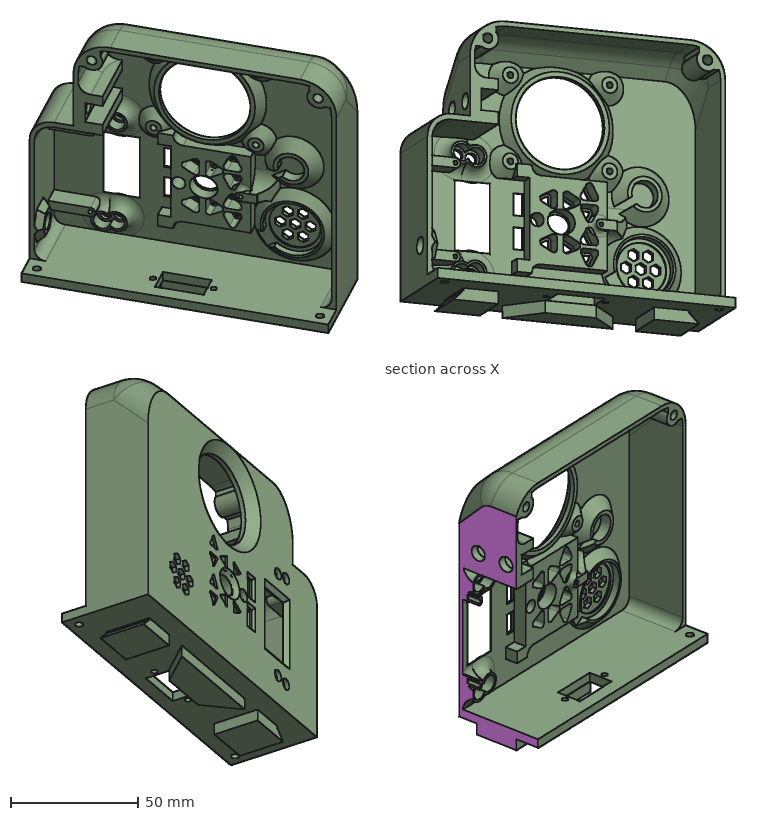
import math

import cadquery as cq

width = 126.0
depth = 28.9
wall = 2.0
floor_back = depth - wall
plate_thick = 4.1
plate_reach = 11.0
foot_height = 5.0
top_z = 110.1
tower_left = 18.0
tower_radius = 15.0
bend_y = 13.0
shoulder_z = 70.3
shoulder_radius = 10.0
shoulder_wall = 2.3
floor_corner_radius = 4.5

keypad_z = 36.8
lens_x = 65.1


def block(x0, x1, y0, y1, z0, z1):
    return cq.Workplane("XY").box(x1 - x0, y1 - y0, z1 - z0, centered=False).translate((x0, y0, z0))


def rod(x, z, diameter, y0, y1):
    """Cylinder along Y from y0 to y1."""
    return cq.Workplane(cq.Solid.makeCylinder(diameter / 2, y1 - y0, cq.Vector(x, y0, z), cq.Vector(0, 1, 0)))


def cone(x, z, base_radius, top_radius, y_base, y_top):
    """Cone along Y whose base is at the larger y."""
    height = y_base - y_top
    return cq.Workplane(
        cq.Solid.makeCone(base_radius, top_radius, height, cq.Vector(x, y_base, z), cq.Vector(0, -1, 0))
    )


def prism(sketch_points, y0, y1):
    """Polygon in X and Z, extruded from y0 to y1."""
    return cq.Workplane("XZ", origin=(0, y0, 0)).polyline(sketch_points).close().extrude(y0 - y1)


def cut_all(body, tools):
    """Remove several tool bodies in one step."""
    return cq.Workplane(body.val().cut(*[tool.val() for tool in tools])).clean()


def hexagon(radius):
    """Corners of a regular hexagon, the first one straight along the second axis."""
    angles = [math.radians(90 + 60 * i) for i in range(6)]
    return [(radius * math.cos(a), radius * math.sin(a)) for a in angles]


def flared_window(x0, x1, z0, z1, lip):
    """Rectangular opening in the back wall that widens by 45 degrees behind a straight lip."""
    flare = wall - lip
    opening = block(x0, x1, floor_back, depth, z0, z1)
    centre = ((x0 + x1) / 2, depth, (z0 + z1) / 2)
    funnel = (
        cq.Workplane("XZ", origin=centre).rect(x1 - x0 + 2 * flare, z1 - z0 + 2 * flare)
        .workplane(offset=flare).rect(x1 - x0, z1 - z0).loft(ruled=True)
    )
    return opening.union(funnel)


def tower(inset, base_z):
    """Tall part: a round-cornered outline bent back and down by 45 degrees towards the back wall."""
    radius = tower_radius - inset
    axis_z = top_z - tower_radius
    left, right = tower_left + inset, width - inset
    back = depth - inset
    run = depth
    bend = math.radians(45)
    arc_half = bend / 2
    arc_end = radius * math.sin(bend)
    sides = (
        cq.Workplane("YZ", origin=(left, 0, 0))
        .polyline([(0, base_z), (0, axis_z), (bend_y, axis_z), (bend_y + run, axis_z - run),
                   (bend_y + run, base_z)])
        .close().extrude(right - left)
    )
    roof = (
        cq.Workplane("YZ", origin=(left + radius, 0, 0))
        .moveTo(0, base_z).lineTo(0, axis_z + radius).lineTo(bend_y, axis_z + radius)
        .threePointArc(
            (bend_y + radius * math.sin(arc_half), axis_z + radius * math.cos(arc_half)),
            (bend_y + arc_end, axis_z + arc_end))
        .lineTo(bend_y + arc_end + run, axis_z + arc_end - run)
        .lineTo(bend_y + arc_end + run, base_z)
        .close().extrude(right - left - 2 * radius)
    )
    body = sides.union(roof)
    for x in (left + radius, right - radius):
        centre = cq.Vector(x, bend_y, axis_z)
        slanted = cq.Solid.makeCylinder(radius, run, centre, cq.Vector(0, 1, -1))
        ball = cq.Workplane(cq.Solid.makeSphere(radius, centre, cq.Vector(0, 0, 1), -90, 90, 360))
        body = body.union(rod(x, axis_z, 2 * radius, 0, bend_y)).union(ball).union(cq.Workplane(slanted))
    return body.intersect(block(left, right, 0, back, base_z, top_z))


def shell():
    low_part = (
        block(0, width / 2, 0, depth, 0, shoulder_z)
        .edges("|Y and <X and >Z").fillet(shoulder_radius)
    )
    outer = tower(0, 0).union(low_part)
    low_room = (
        block(wall, width / 2, 0, floor_back, plate_thick, shoulder_z - shoulder_wall)
        .edges("|Y and <X and >Z").fillet(shoulder_radius - wall)
        .edges("|Y and <X and <Z").fillet(floor_corner_radius)
    )
    tall_room = tower(wall, plate_thick).edges("|Y and >X and <Z").fillet(floor_corner_radius)
    return outer, outer.cut(tall_room.union(low_room))


lid_post_diameter = 9.0
lid_hole_diameter = 4.0
lid_post_inset = 7.5
lid_post_length = 16.0
lid_hole_depth = 12.0
lid_web = 3.6


def add_lid_posts(body):
    z = top_z - lid_post_inset
    core = tower(wall / 2, plate_thick)
    for x, side in ((tower_left + lid_post_inset, -1), (width - lid_post_inset, 1)):
        corner_x = x + side * lid_post_inset
        web_x = x - side * lid_web
        web_to_side = block(min(x, corner_x), max(x, corner_x), 0, lid_post_length, z - lid_web, top_z)
        web_to_roof = block(min(web_x, corner_x), max(web_x, corner_x), 0, lid_post_length, z, top_z)
        post = rod(x, z, lid_post_diameter, 0, lid_post_length).union(web_to_side).union(web_to_roof)
        body = body.union(post.intersect(core))
        body = body.cut(rod(x, z, lid_hole_diameter, 0, lid_hole_depth))
    return body


latch_right = 30.0
latch_top = 86.4
latch_notch_x = 22.8
latch_notch_z = (73.0, 81.9)
latch_fillet = 5.0
side_hole_diameter = 6.5
side_hole_y = (5.2, 19.2)


def add_latch_block(body, outer):
    base_z = shoulder_z - shoulder_wall
    wall_x = tower_left + wall
    latch = block(tower_left, latch_right, 0, depth, base_z, latch_top)
    body = body.union(latch.intersect(outer))
    margin = 0.1
    corner = cq.selectors.BoxSelector((tower_left, 0, latch_top - margin),
                                      (wall_x + latch_fillet, floor_back - margin, latch_top + margin))
    body = body.edges(corner).fillet(latch_fillet)
    body = body.cut(block(latch_notch_x, latch_right, 0, floor_back, *latch_notch_z))
    notch_mid = sum(latch_notch_z) / 2
    for y in side_hole_y:
        hole = cq.Solid.makeCylinder(side_hole_diameter / 2, latch_notch_x - tower_left,
                                     cq.Vector(tower_left, y, notch_mid), cq.Vector(1, 0, 0))
        body = body.cut(cq.Workplane(hole))
    return body


lens_z = 77.3
lens_diameter = 37.5
lens_rim_diameter = 41.5
lens_base_radius = 24.1
lens_height = 4.4
lens_flare_radius = 23.1


def add_lens(body):
    return body.union(cone(lens_x, lens_z, lens_base_radius, lens_rim_diameter / 2,
                           floor_back, floor_back - lens_height))


def cut_lens(body):
    flare_depth = lens_flare_radius - lens_diameter / 2
    body = body.cut(rod(lens_x, lens_z, lens_diameter, 0, depth))
    return body.cut(cone(lens_x, lens_z, lens_flare_radius, lens_diameter / 2, depth, depth - flare_depth))


screw_half_x = 21.0
screw_half_z = 17.5
screw_post_diameter = 6.5
screw_hole_diameter = 2.52
screw_base_radius = 7.5
screw_hole_depth = 5.0
screw_top = floor_back - (screw_base_radius - screw_post_diameter / 2)


def screw_places():
    return [(lens_x + i * screw_half_x, lens_z + j * screw_half_z) for i in (-1, 1) for j in (-1, 1)]


def add_screw_posts(body):
    for x, z in screw_places():
        body = body.union(cone(x, z, screw_base_radius, screw_post_diameter / 2, floor_back, screw_top))
    return body


def cut_screw_holes(body):
    end = screw_top + screw_hole_depth
    return cut_all(body, [rod(x, z, screw_hole_diameter, screw_top, end) for x, z in screw_places()])


speaker = (101.0, 22.5)
speaker_base_radius = 17.0
speaker_rim_radius = 13.1
speaker_ledge_diameter = 24.2
speaker_bore_diameter = 21.0
speaker_ledge_depth = 3.2
speaker_slot = 8.0
sound_hole_radius = 2.5
sound_hole_pitch = 6.25
button = (100.7, 51.7)
button_base_radius = 12.1
button_rim_radius = 7.2
button_bore_diameter = 11.0
button_slot = 3.4
slot_angle = 212.5
slot_length = 16.0
speaker_top = floor_back - (speaker_base_radius - speaker_rim_radius)
button_top = floor_back - (button_base_radius - button_rim_radius)


def cable_slot(place, slot_width, y0, y1):
    slot = block(0, slot_length, y0, y1, -slot_width / 2, slot_width / 2)
    return slot.rotate((0, 0, 0), (0, 1, 0), -slot_angle).translate((place[0], 0, place[1]))


def add_button_socket(body):
    body = body.union(cone(*button, button_base_radius, button_rim_radius, floor_back, button_top))
    bore = rod(*button, button_bore_diameter, button_top, floor_back)
    return cut_all(body, [bore, cable_slot(button, button_slot, button_top, floor_back)])


def add_speaker_socket(body):
    return body.union(cone(*speaker, speaker_base_radius, speaker_rim_radius, floor_back, speaker_top))


def cut_speaker_socket(body):
    ledge_y = speaker_top + speaker_ledge_depth
    body = cut_all(body, [
        rod(*speaker, speaker_bore_diameter, speaker_top, floor_back),
        rod(*speaker, speaker_ledge_diameter, speaker_top, ledge_y),
        cable_slot(speaker, speaker_slot, speaker_top, ledge_y),
    ])
    x, z = speaker
    places = [speaker]
    for i in range(6):
        angle = math.radians(60 * i)
        places.append((x + sound_hole_pitch * math.cos(angle), z + sound_hole_pitch * math.sin(angle)))
    holes = []
    for x, z in places:
        outline = [(x + dx, z + dz) for dx, dz in hexagon(sound_hole_radius)]
        holes.append(prism(outline, floor_back, depth))
    return cut_all(body, holes)


keypad_height = 5.7
keypad_front = floor_back - keypad_height
keypad_left = 51.7
keypad_right = 84.5
keypad_half = 18.0
tab_left = 46.3
tab_round = 4.0
tab_round_x = 56.6
key_lip = 1.0
tab_half = (16.7, 22.0)
pocket_left = 39.5


def add_keypad(body):
    inner, outer = tab_half
    panel = block(keypad_left, keypad_right, keypad_front, floor_back,
                  keypad_z - keypad_half, keypad_z + keypad_half)
    body = body.cut(block(pocket_left, keypad_left, 0, floor_back, keypad_z - inner, keypad_z + inner))
    for side in (-1, 1):
        z0, z1 = sorted((keypad_z + side * inner, keypad_z + side * outer))
        tab = block(tab_left, tab_round_x, keypad_front, floor_back, z0, z1)
        hollow = rod(tab_round_x, keypad_z + side * (keypad_half + tab_round), 2 * tab_round,
                     keypad_front, floor_back)
        panel = panel.union(tab.cut(hollow))
    return body.union(panel)


arrow_pair_x = 64.6
arrow_pair_half = 4.9
arrow_pair_z = 8.9
arrow_column_x = 77.0
arrow_column_far = 13.4
arrow_column_near = 4.6
arrow_keys = [(arrow_pair_x + i * arrow_pair_half, j * arrow_pair_z, 90 - 90 * i)
              for i in (-1, 1) for j in (-1, 1)]
arrow_keys += [(arrow_column_x, arrow_column_far, 90), (arrow_column_x, arrow_column_near, 270),
               (arrow_column_x, -arrow_column_near, 90), (arrow_column_x, -arrow_column_far, 270)]
arrow_core_length = 4.2
arrow_core_width = 4.5
arrow_rounding_inside = 1.5
arrow_rounding_outside = 0.5
oval_inside = (11.5, 10.3)
oval_outside = (10.2, 8.3)
oval_depth = 5.5
round_key_x = 54.9
round_key_diameter = 5.5
window_x = 49.0
window_width = 3.8
window_height = 9.0
window_half = 6.9


def arrow(x, z, angle, rounding, y0, y1):
    half_length, half_width = arrow_core_length / 2, arrow_core_width / 2
    shape = (
        cq.Workplane("XZ")
        .polyline([(half_length, 0), (-half_length, half_width), (-half_length, -half_width)])
        .close().offset2D(rounding).extrude(y0 - y1)
    )
    return shape.rotate((0, 0, 0), (0, 1, 0), -angle).translate((x, y0, z))


def oval_opening():
    """Oval key opening: straight at the front, then a narrower edge that flares by 45 degrees to the back."""
    lip_y = keypad_front + oval_depth
    flare = depth - lip_y
    half_x, half_z = oval_outside[0] / 2, oval_outside[1] / 2
    front = (
        cq.Workplane("XZ", origin=(lens_x, keypad_front, keypad_z))
        .ellipse(oval_inside[0] / 2, oval_inside[1] / 2).extrude(-oval_depth)
    )
    back = (
        cq.Workplane("XZ", origin=(lens_x, lip_y, keypad_z)).ellipse(half_x, half_z)
        .workplane(offset=-flare).ellipse(half_x + flare, half_z + flare).loft(ruled=True)
    )
    return front.union(back)


def cut_keys(body):
    lip_y = depth - key_lip
    tools = [oval_opening(), rod(round_key_x, keypad_z, round_key_diameter, keypad_front, depth)]
    for x, dz, angle in arrow_keys:
        wide = arrow(x, keypad_z + dz, angle, arrow_rounding_inside, keypad_front, lip_y)
        narrow = arrow(x, keypad_z + dz, angle, arrow_rounding_outside, lip_y, depth)
        tools.append(wide.union(narrow))
    for side in (-1, 1):
        mid = keypad_z + side * window_half
        tools.append(flared_window(window_x - window_width / 2, window_x + window_width / 2,
                                   mid - window_height / 2, mid + window_height / 2, key_lip))
    return cut_all(body, tools)


display_x = (22.3, 37.1)
display_half = 14.2
display_lip = 0.2
lamps = [(23.2, 24.4), (29.1, 23.5)]
lamp_diameter = 9.0
lamp_seat_diameter = 7.0
lamp_hole_diameter = 4.8
lamp_cove = 5.3
lamp_top = floor_back - lamp_cove


def lamp_places():
    return [(x, keypad_z + side * dz) for side in (-1, 1) for x, dz in lamps]


def coved_post(x, z, radius, cove, y_base):
    """Round post whose foot widens with a hollow quarter circle."""
    sag = cove * (1 - math.sin(math.pi / 4))
    return (
        cq.Workplane("XY")
        .lineTo(radius + cove, 0)
        .threePointArc((radius + sag, -sag), (radius, -cove))
        .lineTo(0, -cove).close()
        .revolve(360, (0, 0, 0), (0, 1, 0))
        .translate((x, y_base, z))
    )


def add_lamps(body):
    for x, z in lamp_places():
        body = body.union(coved_post(x, z, lamp_diameter / 2, lamp_cove, floor_back))
    return body


def cut_lamps(body):
    tools = [flared_window(*display_x, keypad_z - display_half, keypad_z + display_half, display_lip)]
    for x, z in lamp_places():
        tools.append(rod(x, z, lamp_seat_diameter, lamp_top, floor_back))
        tools.append(rod(x, z, lamp_hole_diameter, lamp_top, depth))
    return cut_all(body, tools)


arm_width = 4.1
arm_front = floor_back - 8.2
arm_hole_diameter = 1.7
arm_hole_depth = 6.0
left_arm_x = 19.3
left_arm_half = 19.05
right_arm = (81.0, keypad_z)
right_arm_end = 87.7
ridge_cove = 7.2


def arm(x_hole, x_end, z):
    half = arm_width / 2
    bar = block(min(x_hole, x_end), max(x_hole, x_end), arm_front, floor_back, z - half, z + half)
    return bar.union(rod(x_hole, z, arm_width, arm_front, floor_back))


def ridge():
    """Ridge along X with hollow flanks and a right end sloping at 45 degrees, standing on the back wall."""
    half = arm_width / 2
    sag = ridge_cove * (1 - math.sin(math.pi / 4))
    top = floor_back - ridge_cove
    profile = (
        cq.Workplane("YZ", origin=(keypad_right, 0, right_arm[1]))
        .moveTo(floor_back, half + ridge_cove)
        .threePointArc((floor_back - sag, half + sag), (top, half))
        .lineTo(top, -half)
        .threePointArc((floor_back - sag, -half - sag), (floor_back, -half - ridge_cove))
        .close()
    )
    end = (
        cq.Workplane("XY").workplane(offset=right_arm[1] - half - ridge_cove)
        .moveTo(keypad_right, floor_back).lineTo(keypad_right, top).lineTo(right_arm_end, top)
        .lineTo(right_arm_end + ridge_cove, floor_back)
        .close().extrude(2 * (half + ridge_cove))
    )
    return profile.extrude(right_arm_end + ridge_cove - keypad_right).intersect(end)


def add_arms(body):
    for side in (-1, 1):
        body = body.union(arm(left_arm_x, wall, keypad_z + side * left_arm_half))
    body = body.union(arm(right_arm[0], right_arm_end, right_arm[1]))
    post_cove = keypad_front - arm_front
    return body.union(coved_post(*right_arm, arm_width / 2, post_cove, keypad_front))


def cut_arm_holes(body):
    places = [(left_arm_x, keypad_z + side * left_arm_half) for side in (-1, 1)] + [right_arm]
    end = arm_front + arm_hole_depth
    return cut_all(body, [rod(x, z, arm_hole_diameter, arm_front, end) for x, z in places])


cable_y = 7.8
cable_diameter = 7.0
cable_base_radius = 9.0
cable_boss_end = 5.05


def add_cable_entry(body, outer):
    z = keypad_z - left_arm_half
    along = cq.Vector(1, 0, 0)
    boss_height = cable_boss_end - wall
    base, rim = [[(b, a) for a, b in hexagon(radius)] for radius in
                 (cable_base_radius, cable_base_radius - boss_height)]
    boss = (
        cq.Workplane("YZ", origin=(wall, cable_y, z)).polyline(base).close()
        .workplane(offset=boss_height).polyline(rim).close().loft(ruled=True)
    )
    hole = cq.Solid.makeCylinder(cable_diameter / 2, cable_boss_end, cq.Vector(0, cable_y, z), along)
    return body.union(boss.intersect(outer)).cut(cq.Workplane(hole))


plate_hole_diameter = 3.2
plate_hole_inset = 4.9
plate_hole_y = -6.0
plug_y = 0.5
plug_size = (20.0, 11.0)
plug_screw_spacing = 25.0
plug_screw_diameter = screw_hole_diameter
foot_depth = 20.0
side_foot_inner = 33.0
side_foot_outer = 51.9
dovetail = 4.2
centre_foot_half = 23.4
centre_foot_flat_half = 10.8
centre_foot_front = 6.2


def add_base(body):
    middle = width / 2
    body = body.union(block(0, width, -plate_reach, 0, 0, plate_thick))
    outer_top = side_foot_outer - dovetail
    for side in (-1, 1):
        outline = [(side_foot_inner, 0), (side_foot_inner, -foot_height), (side_foot_outer, -foot_height),
                   (outer_top, dovetail - foot_height), (outer_top, 0)]
        body = body.union(prism([(middle + side * x, z) for x, z in outline], 0, foot_depth))
    right_half = [(centre_foot_flat_half, centre_foot_front), (centre_foot_half, foot_depth)]
    outline = right_half + [(-x, y) for x, y in reversed(right_half)]
    centre_foot = (
        cq.Workplane("XY").polyline(outline).close().extrude(-foot_height).translate((middle, 0, 0))
    )
    return body.union(centre_foot)


def cut_base_holes(body):
    middle = width / 2
    tools = [cq.Workplane("XY").center(middle, plug_y).rect(*plug_size).extrude(plate_thick)]
    round_holes = []
    for side in (-1, 1):
        round_holes.append((middle + side * (middle - plate_hole_inset), plate_hole_y, plate_hole_diameter))
        round_holes.append((middle + side * plug_screw_spacing / 2, plug_y, plug_screw_diameter))
    for x, y, diameter in round_holes:
        tools.append(cq.Workplane("XY").center(x, y).circle(diameter / 2).extrude(plate_thick))
    return cut_all(body, tools)


outer_solid, result = shell()
result = add_latch_block(result, outer_solid)
result = add_lid_posts(result)
result = add_lens(result)
result = add_screw_posts(result)
result = add_lamps(result)
result = add_button_socket(result)
result = add_speaker_socket(result)
result = result.union(ridge())
result = cut_speaker_socket(result)
result = add_keypad(result)
result = add_arms(result)
result = add_cable_entry(result, outer_solid)
result = cut_lens(result)
result = cut_screw_holes(result)
result = cut_keys(result)
result = cut_lamps(result)
result = cut_arm_holes(result)
result = add_base(result)
result = cut_base_holes(result).solids()